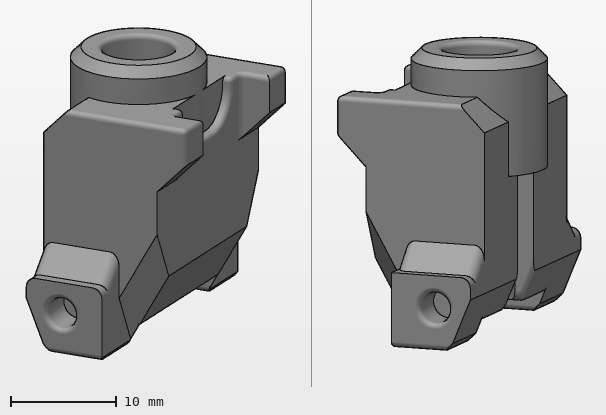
import cadquery as cq
import math

edge_round = 0.5

total_height = 26.55
boss_radius = 6.45
boss_bottom = 15.25
boss_chamfer = 1.02
bore_radius = 3.45

back_x = -4.7
column_x = 7.33
lip_x = 10.35
body_half_width = 10.55
body_top = 22.98
back_top_chamfer = 2.5

lip_inner_y = 6.9
lip_edge_bottom = 19.45

underside = 2.0
column_bottom = 7.27
slope_angle = 30
back_slope_top = 5.07
back_slope_run = 2.12
foot_chamfer = 0.75
side_chamfer = 2.43

foot_inner_y = 8.15
foot_outer_y = 14.15
foot_width = 8.0
foot_top = 7.15
foot_top_round = 1.0
gusset_land = 1.1
foot_hole_radius = 1.5
foot_hole_x = -1.05
foot_hole_z = 4.02
foot_hole_depth = foot_outer_y - body_half_width

slot_half_width = 2.0
slot_corner_round = 1.0

saddle_depth_x = 0.93
saddle_half_width = 4.92
saddle_depth_z = 4.25
saddle_flat_half = 1.27

margin = 0.03

foot_x = back_x + foot_width
slope_tan = math.tan(math.radians(slope_angle))


def slope_x(z):
    """X of the 30 degree slope below the column at height z."""
    return column_x - (column_bottom - z) * slope_tan


def back_slope_x(z):
    """X of the sloped lower part of the back face at height z."""
    return back_x + back_slope_run * (back_slope_top - z) / back_slope_top


def extrude_along_y(points, y_start, y_end):
    """Solid with an (x, z) outline, reaching from y_start to y_end."""
    return cq.Workplane("XZ", origin=(0, y_end, 0)).polyline(points).close().extrude(y_end - y_start)


def box_between(low, high):
    size = [b - a for a, b in zip(low, high)]
    return cq.Workplane("XY").box(*size, centered=False).translate(low)


def make_saddle():
    """Tool for the round-cornered dip in the top edge between the lips."""
    tool = box_between(
        (column_x - saddle_depth_x, -saddle_half_width, body_top - saddle_depth_z),
        (lip_x, saddle_half_width, body_top),
    )
    return tool.edges("|X and <Z").fillet(saddle_half_width - saddle_flat_half)


def make_side_bevels():
    """45 degree bevels between the slope and the two sides of the body."""
    slope_section = cq.Plane(
        origin=(column_x, 0, column_bottom),
        xDir=(1, 0, -slope_tan),
        normal=(slope_tan, 0, 1),
    )
    bevels = cq.Workplane("XY")
    for side in (-1, 1):
        outer = side * body_half_width
        triangle = [(0, outer), (0, outer - side * side_chamfer), (-side_chamfer, outer)]
        bevel = cq.Workplane(slope_section).polyline(triangle).close().extrude(body_top, both=True)
        bevels = bevels.add(bevel)
    return bevels.combine()


def make_body():
    """Body with lips, saddle and rounded top, before the bore and the slot."""
    lip_underside_end = lip_edge_bottom - (lip_x - column_x)
    outline = [
        (back_x, body_top),
        (lip_x, body_top),
        (lip_x, lip_edge_bottom),
        (column_x, lip_underside_end),
        (column_x, column_bottom),
        (slope_x(underside), underside),
        (back_slope_x(underside), underside),
        (back_x, back_slope_top),
    ]
    body = extrude_along_y(outline, -body_half_width, body_half_width)
    gap = box_between((column_x, -lip_inner_y, underside), (lip_x, lip_inner_y, body_top))
    body = body.cut(gap.edges("|Z and <X").fillet(edge_round))
    body = body.faces(">X").edges("(>Y or <Y) and |Z").fillet(edge_round)
    body = body.cut(make_saddle())
    saddle_wall = cq.selectors.NearestToPointSelector((column_x - saddle_depth_x, 0, body_top))
    saddle_rim = cq.selectors.BoxSelector(
        (column_x - margin, -saddle_half_width - margin, body_top - saddle_depth_z - margin),
        (column_x + margin, saddle_half_width + margin, body_top - margin),
    )
    top_edges = body.faces(">Z").edges(cq.StringSyntaxSelector("not <X") - saddle_wall)
    body = top_edges.add(body.edges(saddle_rim)).fillet(edge_round)
    corner = back_top_chamfer
    wedge = [(back_x, body_top - corner), (back_x, body_top), (back_x + corner, body_top)]
    body = body.cut(extrude_along_y(wedge, -body_half_width, body_half_width))
    return body.cut(make_side_bevels())


def foot_block(end_x):
    """Block of the +Y foot with gusset and land, from the back face to end_x, trimmed to the slopes."""
    gusset_rise = foot_outer_y - gusset_land - body_half_width
    profile = [
        (foot_inner_y, 0),
        (foot_outer_y, 0),
        (foot_outer_y, foot_top),
        (foot_outer_y - gusset_land, foot_top),
        (body_half_width, foot_top + gusset_rise),
        (foot_inner_y, foot_top + gusset_rise),
    ]
    block = cq.Workplane("YZ", origin=(back_x, 0, 0)).polyline(profile).close().extrude(end_x - back_x)
    upper_corners = cq.selectors.BoxSelector(
        (back_x - margin, body_half_width, foot_top - margin),
        (end_x + margin, foot_outer_y, foot_top + gusset_rise),
    )
    block = block.edges(upper_corners).edges("<X or >X").fillet(foot_top_round)
    block = block.faces("<Z").edges("|X").fillet(edge_round)
    slopes = [
        (back_x, back_slope_top),
        (back_slope_x(foot_chamfer), foot_chamfer),
        (back_slope_x(foot_chamfer) + foot_chamfer, 0),
        (slope_x(0), 0),
        (end_x, (end_x - slope_x(0)) / slope_tan),
        (end_x, body_top),
        (back_x, body_top),
    ]
    return block.intersect(extrude_along_y(slopes, 0, foot_outer_y))


def make_foot():
    """Foot on the +Y side: a narrow outer block and a bevelled root below the body."""
    under_body = box_between((back_x, foot_inner_y, 0), (column_x, body_half_width, column_bottom))
    root = foot_block(column_x).intersect(under_body).cut(make_side_bevels())
    foot = foot_block(foot_x).union(root)
    hole_plane = cq.Workplane("XZ", origin=(foot_hole_x, foot_outer_y, foot_hole_z))
    foot = foot.cut(hole_plane.circle(foot_hole_radius).extrude(foot_hole_depth))
    hole_mouth = cq.selectors.RadiusNthSelector(-1)
    return foot.faces(">Y").edges("%CIRCLE").edges(hole_mouth).fillet(edge_round)


def make_square_corner():
    """Square edge that fills the rounded +X corner of one foot's land."""
    return box_between(
        (foot_x - foot_top_round, body_half_width, foot_top - foot_top_round),
        (foot_x, foot_outer_y, foot_top),
    )


def make_boss():
    base = cq.Workplane("XY", origin=(0, 0, boss_bottom))
    boss = base.circle(boss_radius).extrude(total_height - boss_bottom)
    boss = boss.faces(">Z").chamfer(boss_chamfer).cut(make_bore())
    bore_mouth = cq.selectors.RadiusNthSelector(0)
    return boss.faces(">Z").edges(bore_mouth).fillet(edge_round)


def make_bore():
    return cq.Workplane("XY").circle(bore_radius).extrude(total_height)


def cut_slot(body):
    """Slot from the back face into the bore, with its mouth rounded along the slope."""
    slot = box_between((back_x, -slot_half_width, 0), (0, slot_half_width, boss_bottom))
    body = body.cut(slot)
    slot_floor = cq.selectors.BoxSelector(
        (back_x, -slot_half_width - margin, underside - margin),
        (0, slot_half_width + margin, underside + margin),
    )
    body = body.edges(slot_floor).edges("|X").fillet(slot_corner_round)
    slope_middle = (underside + back_slope_top) / 2
    slopes = cq.selectors.BoxSelector(
        (back_x, -body_half_width, slope_middle - slot_corner_round),
        (0, body_half_width, slope_middle + slot_corner_round),
    )
    mouth = cq.selectors.BoxSelector(
        (back_x, -body_half_width + margin, underside - margin),
        (0, body_half_width - margin, back_slope_top - margin),
    )
    return body.faces(slopes).edges(mouth).fillet(edge_round)


body = cut_slot(make_body().cut(make_bore()))
foot = make_foot()
result = body.union(make_boss()).union(foot).union(foot.mirror("XZ")).union(make_square_corner())